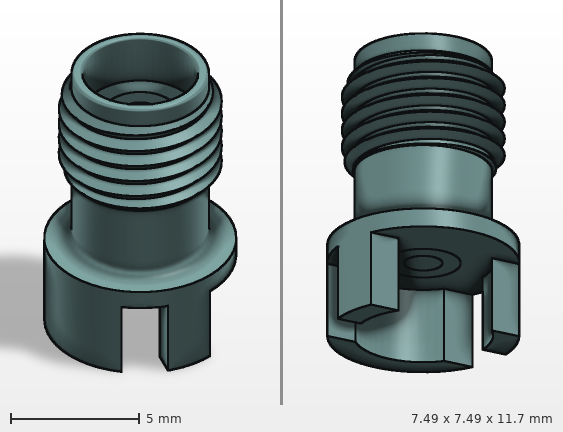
import cadquery as cq
import math


TOTAL_HEIGHT = 11.68
FLANGE_BOTTOM = 3.05
FLANGE_TOP = 3.81
THREAD_BOTTOM = 6.91
THREAD_TOP = 10.91
SOCKET_FLOOR = 9.7

FLANGE_RADIUS = 7.49 / 2
BARREL_RADIUS = 2.69
SOCKET_RADIUS = 2.25
LEG_CAVITY_RADIUS = 2.72
NECK_FILLET = 0.5
RIM_OUTER_FILLET = 0.15
RIM_INNER_FILLET = 0.1

FRONT_LEG_FACE = -1.87
REAR_LEG_FRONT_FACE = -0.13
REAR_LEG_BACK_FACE = 1.75

THREAD_RADIUS = 3.18
THREAD_ROOT_RADIUS = 2.73
PITCHES_PER_DIAMETER = 9
THREAD_PITCH = 2 * THREAD_RADIUS / PITCHES_PER_DIAMETER
THREAD_FLANK_ANGLE = 30.0
CREST_HEIGHT = 7.29
RUN_OUT_TURNS = 2
RIDGE_OVERLAP = 0.05

INSULATOR_RADIUS = 1.46
CONTACT_RADIUS = 0.75
CONTACT_HOLE_RADIUS = 0.48
CONTACT_HOLE_DEPTH = 2.92


def cylinder(radius, bottom, top):
    return cq.Workplane("XY").workplane(offset=bottom).circle(radius).extrude(top - bottom)


def make_thread():
    """Helical ridge on a core, turned down at 45 degrees to the barrel at both ends."""
    base_radius = THREAD_ROOT_RADIUS - RIDGE_OVERLAP
    half_base = (THREAD_RADIUS - base_radius) * math.tan(math.radians(THREAD_FLANK_ANGLE))
    start_height = CREST_HEIGHT - RUN_OUT_TURNS * THREAD_PITCH
    turns = math.ceil((THREAD_TOP - start_height) / THREAD_PITCH) + 1
    path = cq.Wire.makeHelix(
        THREAD_PITCH, turns * THREAD_PITCH, THREAD_ROOT_RADIUS, center=cq.Vector(0, 0, start_height)
    )
    ridge = (
        cq.Workplane("XZ")
        .moveTo(base_radius, start_height - half_base)
        .lineTo(THREAD_RADIUS, start_height)
        .lineTo(base_radius, start_height + half_base)
        .close()
        .sweep(cq.Workplane(obj=path), isFrenet=True)
    )
    outer_radius = THREAD_RADIUS + RIDGE_OVERLAP
    end_chamfer = outer_radius - BARREL_RADIUS
    envelope = cylinder(outer_radius, THREAD_BOTTOM, THREAD_TOP).edges().chamfer(end_chamfer)
    core = cylinder(THREAD_ROOT_RADIUS, THREAD_BOTTOM, THREAD_TOP).intersect(envelope)
    return core.union(ridge.intersect(envelope))


def leg_gap(front, back):
    """Block that clears the space below the flange between two Y positions."""
    return (
        cq.Workplane("XY")
        .center(0, (front + back) / 2)
        .rect(2 * FLANGE_RADIUS, back - front)
        .extrude(FLANGE_BOTTOM)
    )


def make_housing():
    flange = cylinder(FLANGE_RADIUS, 0, FLANGE_TOP)
    barrel = cylinder(BARREL_RADIUS, FLANGE_TOP, TOTAL_HEIGHT)
    barrel = barrel.faces(">Z").edges().fillet(RIM_OUTER_FILLET)
    body = flange.union(barrel)
    flange_face = cq.selectors.NearestToPointSelector((0, 0, FLANGE_TOP))
    neck_corner = cq.selectors.RadiusNthSelector(0)
    body = body.faces("|Z").faces(flange_face).edges(neck_corner).fillet(NECK_FILLET)

    body = body.cut(cylinder(SOCKET_RADIUS, SOCKET_FLOOR, TOTAL_HEIGHT))
    body = body.faces(">Z").edges(cq.selectors.RadiusNthSelector(0)).fillet(RIM_INNER_FILLET)

    body = body.cut(cylinder(LEG_CAVITY_RADIUS, 0, FLANGE_BOTTOM))
    body = body.cut(leg_gap(FRONT_LEG_FACE, REAR_LEG_FRONT_FACE))
    body = body.cut(leg_gap(REAR_LEG_BACK_FACE, FLANGE_RADIUS))

    thread = make_thread().cut(cylinder(SOCKET_RADIUS, SOCKET_FLOOR, TOTAL_HEIGHT))
    body = body.union(thread)
    return body.cut(cylinder(INSULATOR_RADIUS, FLANGE_BOTTOM, SOCKET_FLOOR))


def make_insulator():
    sleeve = cylinder(INSULATOR_RADIUS, FLANGE_BOTTOM, SOCKET_FLOOR)
    return sleeve.cut(cylinder(CONTACT_RADIUS, FLANGE_BOTTOM, SOCKET_FLOOR))


def make_contact():
    pin = cylinder(CONTACT_RADIUS, FLANGE_BOTTOM, SOCKET_FLOOR)
    return pin.cut(cylinder(CONTACT_HOLE_RADIUS, SOCKET_FLOOR - CONTACT_HOLE_DEPTH, SOCKET_FLOOR))


housing = make_housing()
insulator = make_insulator()
contact = make_contact()
result = cq.Compound.makeCompound(
    [*housing.solids().vals(), *insulator.solids().vals(), *contact.solids().vals()]
)